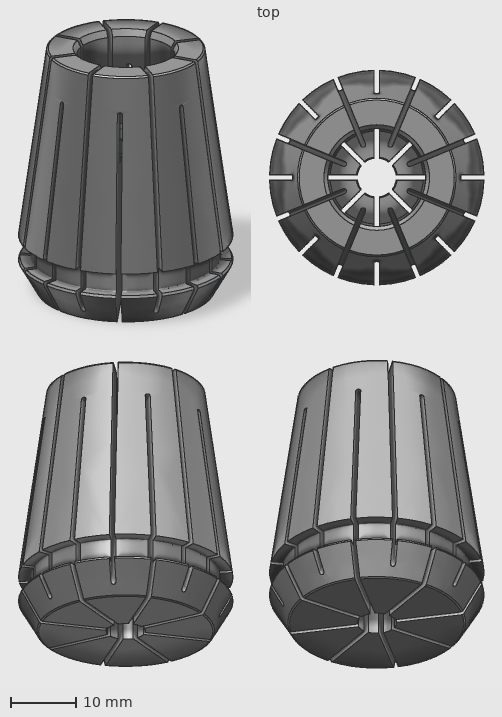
import cadquery as cq
import math

height = 40.0
max_diameter = 33.0
max_radius = max_diameter / 2
taper_angle = 8.0
nose_angle = 30.0
top_edge_break = 0.25
bottom_edge_break = 0.15

groove_radius = 14.6
groove_bottom = 5.5
groove_top = 9.1
groove_root_fillet = 0.15
root_margin = 0.05
rim_break_width = 0.25
rim_break_height = 0.4

clamp_bore_radius = 3.0
clamp_bore_break = 0.15
relief_bore_radius = 7.5
floor_bevel_width = 0.35
floor_bevel_height = 0.8
mouth_radius = 8.1
mouth_depth = 1.05

slot_count = 8
slot_pitch = 360.0 / slot_count
slot_width = 0.8
lower_slot_top = 34.4
upper_slot_bottom = 1.6
upper_slot_slope = 67.0
upper_slot_inner = 5.1
slot_reach = max_radius + 2.0
clearance = 0.4

rim_height = groove_bottom - rim_break_height
nose_slope = math.tan(math.radians(nose_angle))
taper_slope = math.tan(math.radians(taper_angle))
nose_radius = max_radius - rim_height * nose_slope
top_radius = max_radius - (height - groove_top) * taper_slope

floor_slope = math.tan(math.radians(upper_slot_slope))
upper_slot_outer = nose_radius + upper_slot_bottom * nose_slope
relief_floor = upper_slot_bottom + (upper_slot_outer - upper_slot_inner) * floor_slope


def collet_body():
    """Revolve the half section, bore included, about Z."""
    section = [
        (clamp_bore_radius, 0),
        (nose_radius - bottom_edge_break, 0),
        (nose_radius + bottom_edge_break * nose_slope, bottom_edge_break),
        (max_radius, rim_height),
        (max_radius - rim_break_width, groove_bottom),
        (groove_radius, groove_bottom),
        (groove_radius, groove_top),
        (max_radius, groove_top),
        (top_radius + top_edge_break * taper_slope, height - top_edge_break),
        (top_radius - top_edge_break, height),
        (mouth_radius, height),
        (relief_bore_radius, height - mouth_depth),
        (relief_bore_radius, relief_floor + floor_bevel_height),
        (relief_bore_radius - floor_bevel_width, relief_floor),
        (clamp_bore_radius + clamp_bore_break, relief_floor),
        (clamp_bore_radius, relief_floor - clamp_bore_break),
    ]
    body = cq.Workplane("XZ").polyline(section).close().revolve(360, (0, 0), (0, 1))
    for root_height in (groove_bottom, groove_top):
        root = cq.selectors.BoxSelector(
            (-max_radius, -max_radius, root_height - root_margin),
            (max_radius, max_radius, root_height + root_margin),
        )
        inner_edge = cq.selectors.RadiusNthSelector(0)
        body = body.edges(root).edges(inner_edge).fillet(groove_root_fillet)
    return body


def lower_slot():
    """Radial slot open at the bottom end, with a round top running straight out."""
    half_width = slot_width / 2
    return (
        cq.Workplane("YZ")
        .moveTo(-half_width, -clearance)
        .lineTo(half_width, -clearance)
        .lineTo(half_width, lower_slot_top - half_width)
        .threePointArc((0, lower_slot_top), (-half_width, lower_slot_top - half_width))
        .close()
        .extrude(slot_reach)
    )


def upper_slot():
    """Radial slot open at the top end, with a round floor that rises toward the axis."""
    centre_rise = slot_width / 2 / math.cos(math.radians(upper_slot_slope))
    axis_height = upper_slot_bottom + upper_slot_outer * floor_slope + centre_rise
    outer_height = axis_height - slot_reach * floor_slope
    open_height = axis_height + height
    wall_outline = [
        (0, axis_height),
        (slot_reach, outer_height),
        (slot_reach, open_height),
        (0, open_height),
    ]
    walls = (
        cq.Workplane("XZ")
        .polyline(wall_outline)
        .close()
        .extrude(slot_width / 2, both=True)
    )
    floor_length = math.hypot(slot_reach, axis_height - outer_height)
    floor_direction = cq.Vector(slot_reach, 0, outer_height - axis_height)
    floor_start = cq.Vector(0, 0, axis_height)
    floor = cq.Solid.makeCylinder(slot_width / 2, floor_length, floor_start, floor_direction)
    return walls.union(cq.Workplane(floor))


result = collet_body()
for index in range(slot_count):
    angle = index * slot_pitch
    result = result.cut(lower_slot().rotate((0, 0, 0), (0, 0, 1), angle))
    result = result.cut(upper_slot().rotate((0, 0, 0), (0, 0, 1), angle + slot_pitch / 2))